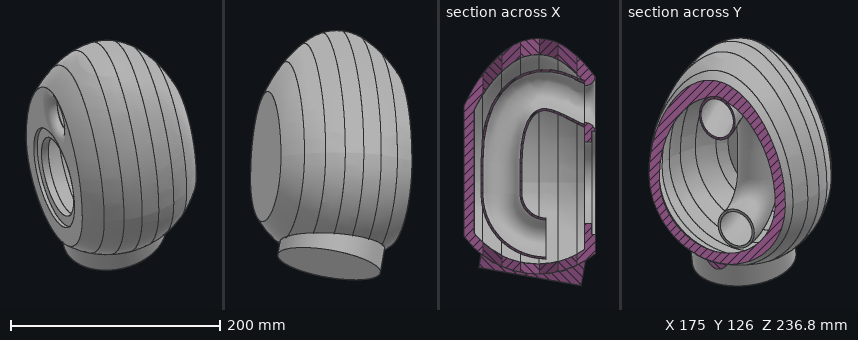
import cadquery as cq
import math

egg_radius = 87.48
equator_z = 98.5
top_z = 236.8
flank_radius = 68.5
flank_z = 177.5
cap_rim_radius = 27.7
cap_rim_z = 227.8
slab_count = 7
slab_depth = 18.0
front_y = -55.2
back_y = front_y + slab_count * slab_depth
wall = 10.0

recess_diameter = 98.5
recess_depth = 3.5
driver_hole_diameter = 78.0

seat_thickness = 7.0
front_wall = recess_depth + seat_thickness
cavity_front_y = front_y + front_wall
cavity_back_y = back_y - wall

port_z = 173.8
port_bore = 35.0
port_flare = 10.0
tube_wall = 2.4
tube_radius = port_bore / 2 + tube_wall
tube_leg_y = front_y + 90.0
tube_peak_y = front_y + 45.0
tube_peak_z = 187.0
tube_port_slope = 0.5
tube_leg_top_z = 118.5
tube_leg_bottom_z = 87.8
tube_bend_radius = 42.5

foot_diameter = 100.0
foot_tilt = 10.0
foot_height = 33.1
foot_y = 7.5
foot_z = foot_diameter / 2 * math.sin(math.radians(foot_tilt))


def egg(inset):
    """Solid egg, shrunk about the middle of its equator so that its radius is `inset` less."""
    scale = (egg_radius - inset) / egg_radius

    def place(radius, z):
        return (scale * radius, equator_z + scale * (z - equator_z))

    cap_height = top_z - cap_rim_z
    cap_radius = (cap_rim_radius**2 + cap_height**2) / (2 * cap_height)
    rim_angle = math.asin(cap_rim_radius / cap_radius)
    half_angle = rim_angle / 2
    cap_middle = place(
        cap_radius * math.sin(half_angle),
        top_z - cap_radius * (1 - math.cos(half_angle)),
    )

    sphere_radius = scale * egg_radius
    diagonal = sphere_radius * math.sqrt(0.5)
    return (
        cq.Workplane("XZ")
        .moveTo(0, equator_z - sphere_radius)
        .threePointArc((diagonal, equator_z - diagonal), (sphere_radius, equator_z))
        .spline(
            [place(flank_radius, flank_z), place(cap_rim_radius, cap_rim_z)],
            tangents=[(0, 1), (-math.cos(rim_angle), math.sin(rim_angle))],
            includeCurrent=True,
        )
        .threePointArc(cap_middle, (0, equator_z + scale * (top_z - equator_z)))
        .close()
        .revolve(360, (0, 0), (0, 1))
    )


def layer(y_start, y_end):
    """Block wider and taller than the egg, between two planes across Y."""
    size = 3 * top_z
    return cq.Workplane("XZ", origin=(0, y_start, 0)).rect(size, size).extrude(y_start - y_end)


def front_cylinder(diameter, z, y_start, depth):
    """Cylinder that runs from y_start toward the back."""
    return cq.Workplane("XZ", origin=(0, y_start, z)).circle(diameter / 2).extrude(-depth)


def port_mouth():
    """Cutter for the flared port through the front wall."""
    bore_r = port_bore / 2
    flare_corner = port_flare * (1 - math.sqrt(0.5))
    return (
        cq.Workplane("XY", origin=(0, front_y, port_z))
        .lineTo(bore_r + port_flare, 0)
        .threePointArc((bore_r + flare_corner, flare_corner), (bore_r, port_flare))
        .lineTo(bore_r, front_wall)
        .lineTo(0, front_wall)
        .close()
        .revolve(360, (0, 0), (0, 1))
    )


def foot():
    """Round tilted foot, dished on top to fit the underside of the egg."""
    angle = math.radians(foot_tilt)
    axis = (0, -math.sin(angle), math.cos(angle))
    plane = cq.Plane(origin=(0, foot_y, foot_z), xDir=(1, 0, 0), normal=axis)
    return cq.Workplane(plane).circle(foot_diameter / 2).extrude(foot_height).cut(egg(0))


def port_tube():
    """Bent tube from the port, over the top, down the back and forward to its open end."""
    bend_diagonal = tube_bend_radius * math.sqrt(0.5)
    bend_y = tube_leg_y - tube_bend_radius
    mouth_z = tube_leg_bottom_z - tube_bend_radius
    path = (
        cq.Workplane("YZ")
        .moveTo(bend_y, mouth_z)
        .threePointArc(
            (bend_y + bend_diagonal, tube_leg_bottom_z - bend_diagonal),
            (tube_leg_y, tube_leg_bottom_z),
        )
        .lineTo(tube_leg_y, tube_leg_top_z)
        .spline(
            [(tube_peak_y, tube_peak_z), (cavity_front_y, port_z)],
            tangents=[(0, 1), (-1, -tube_port_slope)],
            includeCurrent=True,
        )
        .line(-front_wall, -front_wall * tube_port_slope)
        .wire()
    )

    def sweep_circle(radius):
        return cq.Workplane("XZ", origin=(0, bend_y, mouth_z)).circle(radius).sweep(path)

    tube = sweep_circle(tube_radius).cut(sweep_circle(port_bore / 2))
    return tube.intersect(layer(cavity_front_y, back_y))


def enclosure():
    """Hollow egg with the driver opening, the port mouth and a seat for the tube."""
    cavity = egg(wall).intersect(layer(cavity_front_y, cavity_back_y))
    return (
        egg(0)
        .cut(cavity)
        .cut(front_cylinder(recess_diameter, equator_z, front_y, recess_depth))
        .cut(front_cylinder(driver_hole_diameter, equator_z, front_y, front_wall))
        .cut(port_mouth())
        .cut(port_tube())
    )


def slabs():
    """The enclosure cut across Y into equal slabs."""
    shell = enclosure()
    starts = [front_y + index * slab_depth for index in range(slab_count)]
    return [shell.intersect(layer(start, start + slab_depth)).solids().val() for start in starts]


result = cq.Compound.makeCompound([*slabs(), foot().solids().val(), port_tube().solids().val()])